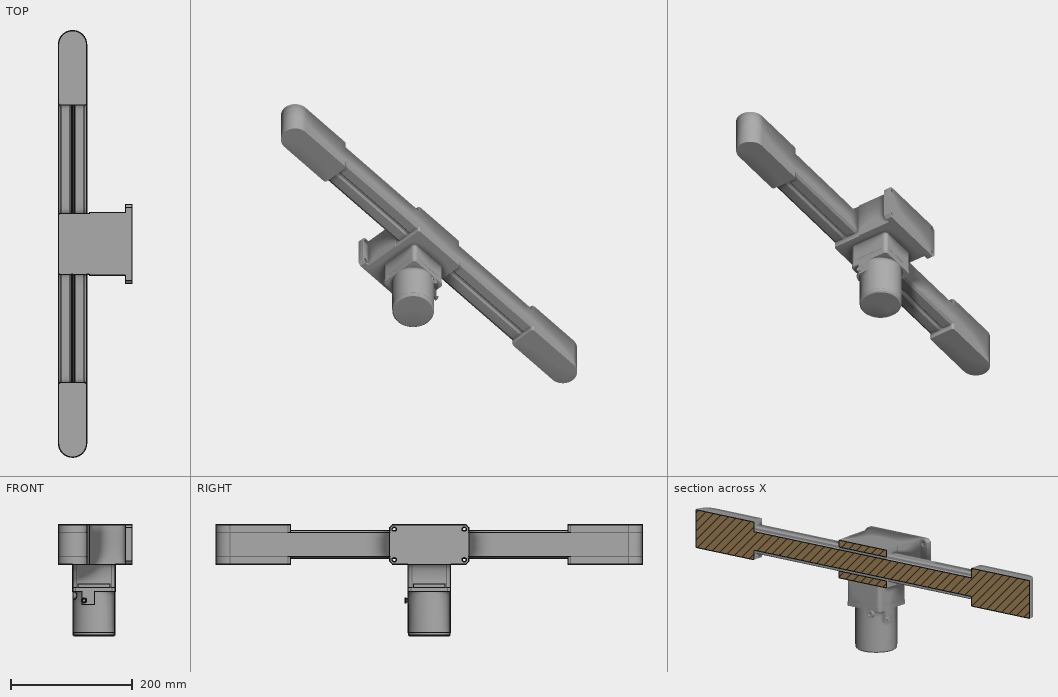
import cadquery as cq

OVERALL_LENGTH = 700.0
BELT_WIDTH = 46.5
BELT_HEIGHT = 40.0
BODY_HEIGHT = 65.0
BODY_TOP = BODY_HEIGHT / 2
BODY_BOTTOM = -BODY_TOP
COVER_HEIGHT = (BODY_HEIGHT - BELT_HEIGHT) / 2
BELT_FACE_X = -BELT_WIDTH / 2

END_LENGTH = 122.5
END_CORNER_RADIUS = 4.0

RAIL_LENGTH = OVERALL_LENGTH - 2 * END_LENGTH
RAIL_HEIGHT = 46.0
RAIL_EDGE_HEIGHT = (RAIL_HEIGHT - BELT_HEIGHT) / 2
RAIL_EDGE_WIDTH = 4.2
SLOT_MOUTH_WIDTH = 8.5
SLOT_NECK_WIDTH = 4.2
SLOT_TAPER_DEPTH = 2.0
SLOT_WALL_DEPTH = 6.0
SLOT_DEPTH = 8.0

SADDLE_LENGTH = 100.0
SADDLE_CHAMFER = 2.0
BLOCK_LENGTH = 103.2
BLOCK_START_X = BELT_FACE_X + 50.6
FLANGE_LENGTH = 130.0
FLANGE_THICKNESS = 10.8
FLANGE_END_X = BELT_FACE_X + 120.8
FLANGE_START_X = FLANGE_END_X - FLANGE_THICKNESS
FLANGE_CHAMFER = 5.0
FLANGE_HOLE_DIAMETER = 6.5
FLANGE_COUNTERBORE_DIAMETER = 10.0
FLANGE_COUNTERBORE_DEPTH = 6.3
FLANGE_HOLE_INSET = 7.5

MOTOR_AXIS_X = 35.0
OVERALL_HEIGHT = 183.0
MOTOR_BOTTOM = BODY_TOP - OVERALL_HEIGHT
GEARBOX_WIDTH = 70.0
GEARBOX_CORNER_RADIUS = 6.6
MOTOR_DIAMETER = 69.0
MOTOR_TOP = BODY_TOP - 109.6
MOTOR_FLANGE_HEIGHT = 6.4
MOTOR_FLANGE_CORNER_RADIUS = 5.0
MOTOR_FLANGE_TOP = MOTOR_TOP + MOTOR_FLANGE_HEIGHT
CAP_DIAMETER = 68.5
CAP_END_DIAMETER = 64.0
CAP_CHAMFER = (CAP_DIAMETER - CAP_END_DIAMETER) / 2
CAP_HEIGHT = 6.0
GROOVE_LENGTH = 52.0
GROOVE_HEIGHT = 6.2
GROOVE_DEPTH = 0.5

TERMINAL_WIDTH = 21.0
TERMINAL_CENTER_X = MOTOR_AXIS_X - 9.2
TERMINAL_BOTTOM = BODY_TOP - 130.7
TERMINAL_FACE_Y = -GEARBOX_WIDTH / 2
TERMINAL_DEPTH = 12.0
SCREW_X = BELT_FACE_X + 42.1
SCREW_Z = BODY_TOP - 124.3
SCREW_NECK_DIAMETER = 5.5
SCREW_NECK_LENGTH = 3.4
SCREW_HEAD_DIAMETER = 8.5
SCREW_HEAD_THICKNESS = 1.2

SOCKET_Y = -13.7
SOCKET_Z = BODY_TOP - 116.3
SOCKET_DIAMETER = 12.6
SOCKET_BORE_DIAMETER = 6.5
SOCKET_BORE_DEPTH = 3.0
SOCKET_FACE_X = MOTOR_AXIS_X - MOTOR_DIAMETER / 2
SOCKET_DEPTH = 12.0


def box(x_min, x_max, y_size, z_min, z_max):
    """Box centred on Y = 0."""
    base = cq.Workplane("XY", origin=((x_min + x_max) / 2, 0, z_min))
    return base.rect(x_max - x_min, y_size).extrude(z_max - z_min)


def make_belt():
    """Belt loop: round-ended bar over the full length."""
    base = cq.Workplane("XY").workplane(offset=-BELT_HEIGHT / 2)
    return base.slot2D(OVERALL_LENGTH, BELT_WIDTH, 90).extrude(BELT_HEIGHT)


def make_end_cover(side, z_min):
    """Cover plate above or below the belt at one end (side is +1 or -1)."""
    outer_y = side * OVERALL_LENGTH / 2
    arc_y = side * (OVERALL_LENGTH / 2 - BELT_WIDTH / 2)
    inner_y = side * (OVERALL_LENGTH / 2 - END_LENGTH)
    half_width = BELT_WIDTH / 2
    cover = (
        cq.Workplane("XY", origin=(0, 0, z_min))
        .moveTo(-half_width, inner_y)
        .lineTo(-half_width, arc_y)
        .threePointArc((0, outer_y), (half_width, arc_y))
        .lineTo(half_width, inner_y)
        .close()
        .extrude(COVER_HEIGHT)
    )
    inner_face = "<Y" if side > 0 else ">Y"
    return cover.faces(inner_face).edges("|Z").fillet(END_CORNER_RADIUS)


def rail_extrusion(outline):
    """Closed XZ outline extruded over the length of the rail."""
    base = cq.Workplane("XZ", origin=(0, RAIL_LENGTH / 2, 0))
    return base.polyline(outline).close().extrude(RAIL_LENGTH)


def make_rail():
    """Rail with sloping long edges and a flat top and bottom."""
    half_width = BELT_WIDTH / 2
    flat_x = half_width - RAIL_EDGE_WIDTH
    half_height = RAIL_HEIGHT / 2
    side_z = half_height - RAIL_EDGE_HEIGHT
    outline = [
        (-half_width, -side_z),
        (-half_width, side_z),
        (-flat_x, half_height),
        (flat_x, half_height),
        (half_width, side_z),
        (half_width, -side_z),
        (flat_x, -half_height),
        (-flat_x, -half_height),
    ]
    return rail_extrusion(outline)


def make_rail_slot(side):
    """Cutter for the V-bottomed slot in the top (side = +1) or bottom (side = -1) of the rail."""
    surface_z = side * RAIL_HEIGHT / 2
    taper_z = surface_z - side * SLOT_TAPER_DEPTH
    wall_z = surface_z - side * SLOT_WALL_DEPTH
    floor_z = surface_z - side * SLOT_DEPTH
    mouth = SLOT_MOUTH_WIDTH / 2
    neck = SLOT_NECK_WIDTH / 2
    outline = [
        (-mouth, surface_z),
        (-neck, taper_z),
        (-neck, wall_z),
        (0, floor_z),
        (neck, wall_z),
        (neck, taper_z),
        (mouth, surface_z),
    ]
    return rail_extrusion(outline)


def make_carriage():
    """Saddle around the belt, wider block beside it and mounting flange at the +X end."""
    saddle = box(0, BLOCK_START_X, SADDLE_LENGTH, BODY_BOTTOM, BODY_TOP)
    for plate_bottom in (BELT_HEIGHT / 2, BODY_BOTTOM):
        plate_top = plate_bottom + COVER_HEIGHT
        plate = box(BELT_FACE_X, BLOCK_START_X, SADDLE_LENGTH, plate_bottom, plate_top)
        saddle = saddle.union(plate.faces("<X").edges("|Z").chamfer(SADDLE_CHAMFER))
    block = box(BLOCK_START_X, FLANGE_START_X, BLOCK_LENGTH, BODY_BOTTOM, BODY_TOP)
    flange = box(FLANGE_START_X, FLANGE_END_X, FLANGE_LENGTH, BODY_BOTTOM, BODY_TOP)
    flange = flange.edges("|X").chamfer(FLANGE_CHAMFER)
    hole_y_spacing = FLANGE_LENGTH - 2 * FLANGE_HOLE_INSET
    hole_z_spacing = BODY_HEIGHT - 2 * FLANGE_HOLE_INSET
    flange = (
        flange.faces("<X")
        .workplane(centerOption="CenterOfBoundBox")
        .rarray(hole_y_spacing, hole_z_spacing, 2, 2)
        .cboreHole(FLANGE_HOLE_DIAMETER, FLANGE_COUNTERBORE_DIAMETER, FLANGE_COUNTERBORE_DEPTH)
    )
    return saddle.union(block).union(flange)


def square_block(z_min, z_max, corner_radius):
    """Square block of the gearbox width, with rounded corners, on the motor axis."""
    base = cq.Workplane("XY", origin=(MOTOR_AXIS_X, 0, z_min))
    block = base.rect(GEARBOX_WIDTH, GEARBOX_WIDTH).extrude(z_max - z_min)
    return block.edges("|Z").fillet(corner_radius)


def make_gearbox():
    """Square gearbox with rounded corners and a shallow groove across each side."""
    gearbox = square_block(MOTOR_FLANGE_TOP, BODY_BOTTOM, GEARBOX_CORNER_RADIUS)
    groove = (
        cq.Workplane("XY", origin=(MOTOR_AXIS_X, 0, MOTOR_FLANGE_TOP))
        .center(-GEARBOX_WIDTH / 2, 0)
        .rect(2 * GROOVE_DEPTH, GROOVE_LENGTH)
        .extrude(GROOVE_HEIGHT)
    )
    motor_axis_start = (MOTOR_AXIS_X, 0, 0)
    motor_axis_end = (MOTOR_AXIS_X, 0, 1)
    for quarter in range(4):
        gearbox = gearbox.cut(groove.rotate(motor_axis_start, motor_axis_end, 90 * quarter))
    return gearbox


def make_motor():
    """Round motor body with a slightly smaller, chamfered end cap."""
    cap_top = MOTOR_BOTTOM + CAP_HEIGHT
    body = cq.Workplane("XY", origin=(MOTOR_AXIS_X, 0, cap_top)).circle(MOTOR_DIAMETER / 2)
    body = body.extrude(MOTOR_TOP - cap_top)
    cap = cq.Workplane("XY", origin=(MOTOR_AXIS_X, 0, MOTOR_BOTTOM)).circle(CAP_DIAMETER / 2)
    cap = cap.extrude(CAP_HEIGHT).faces("<Z").chamfer(CAP_CHAMFER)
    return body.union(cap)


def make_motor_flange():
    """Motor flange with the terminal block hanging from it and a headed screw on the block."""
    flange = square_block(MOTOR_TOP, MOTOR_FLANGE_TOP, MOTOR_FLANGE_CORNER_RADIUS)
    block = (
        cq.Workplane("XZ", origin=(TERMINAL_CENTER_X, TERMINAL_FACE_Y, 0))
        .center(0, (TERMINAL_BOTTOM + MOTOR_TOP) / 2)
        .rect(TERMINAL_WIDTH, MOTOR_TOP - TERMINAL_BOTTOM)
        .extrude(-TERMINAL_DEPTH)
    )
    neck = cq.Workplane("XZ", origin=(SCREW_X, TERMINAL_FACE_Y, SCREW_Z))
    neck = neck.circle(SCREW_NECK_DIAMETER / 2).extrude(SCREW_NECK_LENGTH)
    head = cq.Workplane("XZ", origin=(SCREW_X, TERMINAL_FACE_Y - SCREW_NECK_LENGTH, SCREW_Z))
    head = head.circle(SCREW_HEAD_DIAMETER / 2).extrude(SCREW_HEAD_THICKNESS)
    return flange.union(block).union(neck).union(head)


def make_socket(diameter, depth):
    """Cylinder running inward along X from the socket face."""
    base = cq.Workplane("YZ", origin=(SOCKET_FACE_X, SOCKET_Y, SOCKET_Z))
    return base.circle(diameter / 2).extrude(depth)


result = make_belt().union(make_rail())
for side_sign in (1, -1):
    result = result.cut(make_rail_slot(side_sign))
for side_sign in (1, -1):
    for cover_bottom in (BELT_HEIGHT / 2, BODY_BOTTOM):
        result = result.union(make_end_cover(side_sign, cover_bottom), clean=False)
for component in (make_carriage(), make_gearbox(), make_motor(), make_motor_flange()):
    result = result.union(component, clean=False)
result = result.union(make_socket(SOCKET_DIAMETER, SOCKET_DEPTH), clean=False)
result = result.cut(make_socket(SOCKET_BORE_DIAMETER, SOCKET_BORE_DEPTH), clean=False)